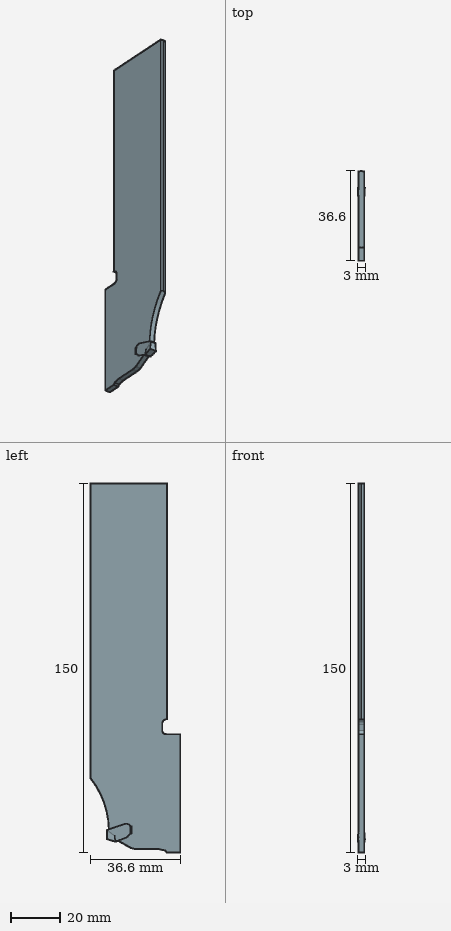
import cadquery as cq
import math

length = 150.0
foot_depth = 36.6
blade_thickness = 2.4
cutting_width = 3.0

shank_front = 5.4
ridge_height = 0.22

notch_bottom = 48.2
notch_top = 54.2
notch_lower_radius = 1.5
notch_upper_radius = 2.0
notch_floor = shank_front + notch_upper_radius

clearance_top = 30.3
clearance_middle = (31.0, 20.2)
clearance_end = (29.1, 9.3)

underside = [(25.4, 4.8), (20.1, 1.8), (18.2, 1.4), (8.8, 1.4), (6.2, 0.8), (5.5, 0)]

insert_tip_y = 29.8
insert_tip_top = 9.2
insert_tip_bottom = 5.4
insert_back_y = 20.2
insert_back_top = 10.6
insert_back_bottom = 7.8
seat_gap = 0.5
insert_heel = (26.4, 4.4)
insert_profile = [
    (insert_tip_y, insert_tip_top),
    (22.4, 11.7),
    (21.0, 11.5),
    (insert_back_y, insert_back_top),
    (insert_back_y, insert_back_bottom),
    (21.8, 6.2),
    underside[0],
    insert_heel,
    (insert_tip_y, insert_tip_bottom),
]

head_shoulder_top = (26.7, 6.8)
head_profile = [
    (insert_tip_y, insert_tip_top),
    head_shoulder_top,
    insert_heel,
    (insert_tip_y, insert_tip_bottom),
]


def plate(profile, thickness):
    """Extrude a closed (y, z) outline symmetrically about X = 0."""
    return cq.Workplane("YZ").polyline(profile).close().extrude(thickness / 2, both=True)


def ridge_cutter(edge_y, inward, bottom):
    """Two long wedges that leave a central ridge along a narrow edge of the blade."""
    half = blade_thickness / 2
    wedges = cq.Workplane("XY")
    for side in (-1, 1):
        corners = [(0, edge_y), (side * half, edge_y), (side * half, edge_y + inward * ridge_height)]
        wedge = cq.Workplane("XY", origin=(0, 0, bottom)).polyline(corners).close().extrude(length - bottom)
        wedges = wedges.add(wedge)
    return wedges.combine()


def make_blade():
    outline = (
        cq.Workplane("YZ")
        .moveTo(0, 0)
        .lineTo(0, notch_bottom)
        .lineTo(notch_floor - notch_lower_radius, notch_bottom)
        .radiusArc((notch_floor, notch_bottom + notch_lower_radius), -notch_lower_radius)
        .lineTo(notch_floor, notch_top - notch_upper_radius)
        .radiusArc((shank_front, notch_top), -notch_upper_radius)
        .lineTo(shank_front, length)
        .lineTo(foot_depth, length)
        .lineTo(foot_depth, clearance_top)
        .threePointArc(clearance_middle, clearance_end)
    )
    for point in underside:
        outline = outline.lineTo(*point)
    blade = outline.close().extrude(blade_thickness / 2, both=True)
    blade = blade.cut(ridge_cutter(shank_front, 1, notch_top))
    blade = blade.cut(ridge_cutter(foot_depth, -1, 0))
    insert_seat = plate(insert_profile, blade_thickness)
    gap_profile = [
        (insert_back_y, insert_back_top),
        (insert_back_y - seat_gap, insert_back_top),
        (insert_back_y - seat_gap, insert_back_bottom),
        (insert_back_y, insert_back_bottom),
    ]
    return blade.cut(insert_seat).cut(plate(gap_profile, blade_thickness))


def make_insert():
    body = plate(insert_profile, blade_thickness)
    run = head_shoulder_top[0] - insert_tip_y
    rise = head_shoulder_top[1] - insert_tip_top
    flare_depth = (insert_tip_top - insert_tip_bottom) * abs(run) / math.hypot(run, rise)
    section_plane = cq.Plane(origin=(0, insert_tip_y, insert_tip_top), xDir=(1, 0, 0), normal=(0, run, rise))
    side_clearance = (
        cq.Workplane(section_plane)
        .moveTo(-blade_thickness / 2, 0)
        .lineTo(blade_thickness / 2, 0)
        .lineTo(cutting_width / 2, -flare_depth)
        .lineTo(-cutting_width / 2, -flare_depth)
        .close()
        .extrude(foot_depth, both=True)
    )
    head = plate(head_profile, cutting_width).intersect(side_clearance)
    return body.union(head)


blade = make_blade()
insert = make_insert()
result = cq.Compound.makeCompound([*blade.solids().vals(), *insert.solids().vals()])